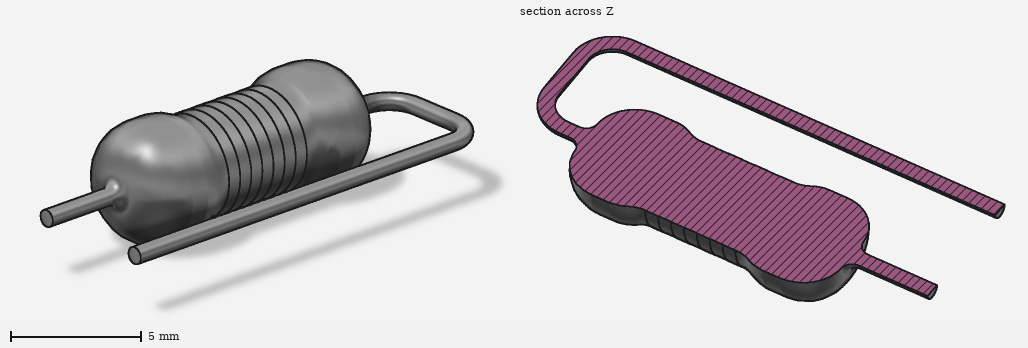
import cadquery as cq
import math


wire_diameter = 0.7
wire_radius = wire_diameter / 2
lead_pitch = 5.0
bend_radius = 1.4
lead_tip_y = -9.6
fold_y = 8.4

body_length = 12.0
cap_radius = 2.5
dome_radius = 1.75
cap_rim_length = 0.8
waist_radius = 4.25 / 2
meniscus_radius = 0.5

band_radius = 4.27 / 2
strip_count = 7
strip_width = 0.58

half_waist = strip_count * strip_width / 2
rim_outer_y = body_length / 2 - dome_radius
rim_inner_y = rim_outer_y - cap_rim_length

shoulder_mid_y = (half_waist + rim_inner_y) / 2
shoulder_mid_radius = (waist_radius + cap_radius) / 2
arc_length_y = shoulder_mid_y - half_waist
arc_rise = shoulder_mid_radius - waist_radius
shoulder_arc_radius = (arc_length_y**2 + arc_rise**2) / (2 * arc_rise)

dome_centre_r = cap_radius - dome_radius
meniscus_centre_r = wire_radius + meniscus_radius
centre_distance = dome_radius + meniscus_radius
centre_offset_r = meniscus_centre_r - dome_centre_r
meniscus_y = rim_outer_y + math.sqrt(centre_distance**2 - centre_offset_r**2)
contact_ratio = dome_radius / centre_distance
dome_end_r = dome_centre_r + centre_offset_r * contact_ratio
dome_end_y = rim_outer_y + (meniscus_y - rim_outer_y) * contact_ratio


def make_body_end():
    """Shoulder, cap, dome and meniscus on the +Y side, revolved about the Y axis."""
    return (
        cq.Workplane("XY")
        .moveTo(0, half_waist)
        .lineTo(waist_radius, half_waist)
        .radiusArc((shoulder_mid_radius, shoulder_mid_y), shoulder_arc_radius)
        .radiusArc((cap_radius, rim_inner_y), -shoulder_arc_radius)
        .lineTo(cap_radius, rim_outer_y)
        .radiusArc((dome_end_r, dome_end_y), -dome_radius)
        .radiusArc((wire_radius, meniscus_y), meniscus_radius)
        .lineTo(0, meniscus_y)
        .close()
        .revolve(360, (0, 0, 0), (0, 1, 0))
    )


def make_strip(index):
    """One strip of the waist, counted from the -Y side; even indices are raised bands."""
    radius = band_radius if index % 2 == 0 else waist_radius
    start_y = index * strip_width - half_waist
    plane = cq.Workplane("XZ", origin=(0, start_y, 0))
    return plane.circle(radius).extrude(-strip_width)


def make_wire():
    """Wire through the body axis, folded over at +Y and returned parallel to the body."""
    bend_start_y = fold_y - bend_radius
    path = (
        cq.Workplane("XY")
        .moveTo(0, lead_tip_y)
        .lineTo(0, bend_start_y)
        .radiusArc((bend_radius, fold_y), bend_radius)
        .lineTo(lead_pitch - bend_radius, fold_y)
        .radiusArc((lead_pitch, bend_start_y), bend_radius)
        .lineTo(lead_pitch, lead_tip_y)
    )
    section = cq.Workplane("XZ", origin=(0, lead_tip_y, 0)).circle(wire_radius)
    return section.sweep(path)


body_end = make_body_end()
result = body_end.union(body_end.mirror("XZ"))
for strip_index in range(strip_count):
    result = result.union(make_strip(strip_index))
result = result.union(make_wire())